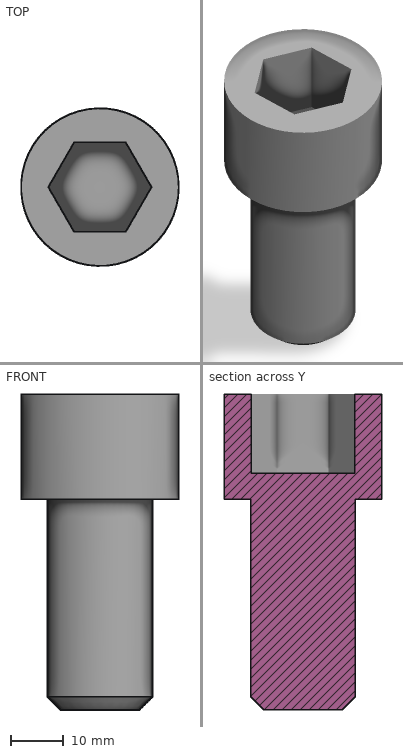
import cadquery as cq
import math

total_length = 60.0
head_diameter = 30.0
shank_diameter = 20.0
head_height = shank_diameter
tip_chamfer = 2.5
socket_across_flats = 17.0
socket_depth = head_height * 0.75

shank_length = total_length - head_height
socket_across_corners = socket_across_flats / math.cos(math.pi / 6)

shank = (
    cq.Workplane("XY")
    .circle(shank_diameter / 2)
    .extrude(shank_length)
    .faces("<Z")
    .chamfer(tip_chamfer)
)

head = (
    cq.Workplane("XY")
    .workplane(offset=shank_length)
    .circle(head_diameter / 2)
    .extrude(head_height)
)

socket = (
    cq.Workplane("XY")
    .workplane(offset=total_length)
    .polygon(6, socket_across_corners)
    .extrude(-socket_depth)
)

result = shank.union(head).cut(socket)